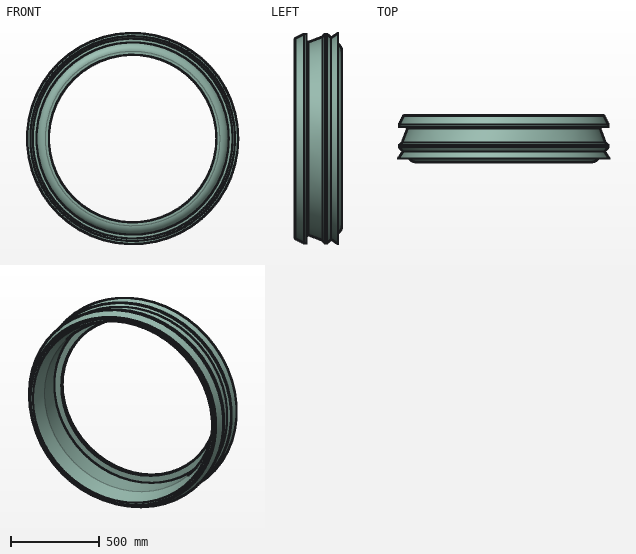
import cadquery as cq

length = 270.0
lip_y = 22.0
valley_y = 61.0
ridge_front_y = 86.0
ridge_back_y = 97.0
taper_front_y = 112.0
taper_back_y = 191.0
flange_front_y = 200.0
flange_band_y = 215.0
edge_break_y = 263.0
bore_land_y = 22.0
flare_y = 170.0

lip_r = 600.0
valley_r = 574.0
ridge_r = 1190.0 / 2
taper_front_r = 578.0
taper_back_r = 548.0
neck_r = 553.0
flange_r = ridge_r
edge_break_r = 571.0
back_r = 563.0

recess_mouth_r = 582.0
recess_floor_r = 568.0
nose_flat_r = 495.0
nose_round = 50.0
nose_outer_r = nose_flat_r + nose_round
recess_floor_y = nose_round
bore_r = 950.0 / 2
inner_r = 1035.0 / 2
bore_back_r = 548.0

section = (
    cq.Workplane("XY")
    .moveTo(bore_r, 0)
    .lineTo(nose_flat_r, 0)
    .tangentArcPoint((nose_outer_r, recess_floor_y), relative=False)
    .lineTo(recess_floor_r, recess_floor_y)
    .lineTo(recess_mouth_r, lip_y)
    .lineTo(lip_r, lip_y)
    .lineTo(valley_r, valley_y)
    .lineTo(ridge_r, ridge_front_y)
    .lineTo(ridge_r, ridge_back_y)
    .lineTo(taper_front_r, taper_front_y)
    .lineTo(taper_back_r, taper_back_y)
    .lineTo(neck_r, flange_front_y)
    .lineTo(flange_r, flange_front_y)
    .lineTo(flange_r, flange_band_y)
    .lineTo(edge_break_r, edge_break_y)
    .lineTo(back_r, length)
    .lineTo(bore_back_r, length)
    .lineTo(inner_r, flare_y)
    .lineTo(inner_r, bore_land_y)
    .lineTo(bore_r, bore_land_y)
    .close()
)

result = section.revolve(360, (0, 0, 0), (0, 1, 0))